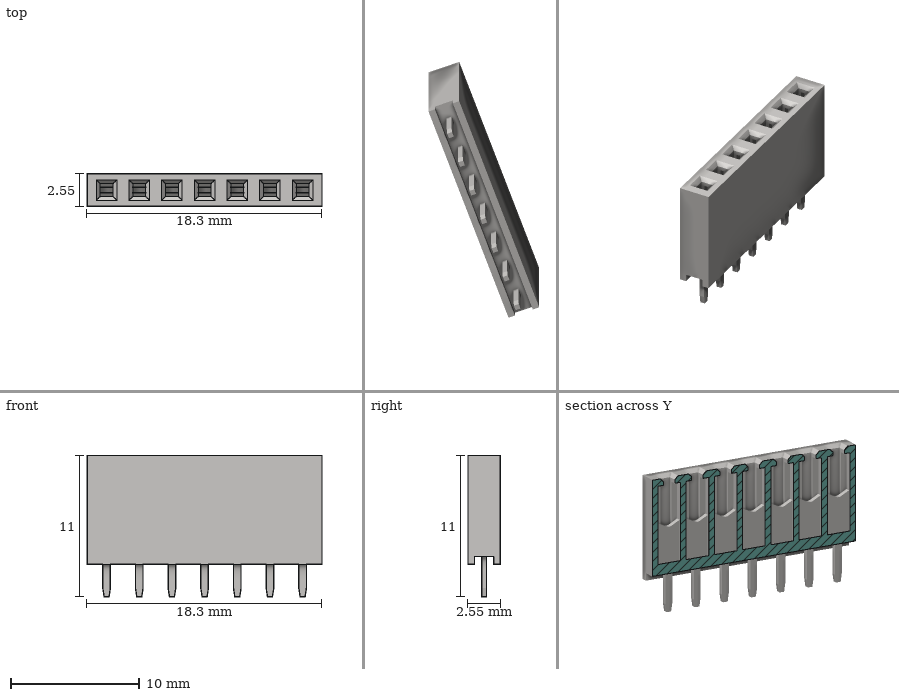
import cadquery as cq
import math

contact_count = 7
pitch = 2.55
housing_length = 18.3
housing_width = pitch
housing_height = 8.5

channel_width = 1.48
channel_height = 0.6

mouth_side = 1.6
socket_side = 0.99
mouth_depth = 0.3
socket_depth = 4.95

chamber_length = 2.0
chamber_width = 0.5
chamber_top_depth = 0.6
chamber_floor_depth = 6.95

contact_thickness = 0.4
chamber_clearance = (chamber_width - contact_thickness) / 2
head_length = chamber_length - 2 * chamber_clearance
head_top_depth = 3.66
valley_slope_angle = math.radians(27)
valley_arc_span = 0.5
tail_width = 0.6
tail_projection = 2.53
tip_width = 0.4
tip_taper_height = 0.65

mouth_bottom = housing_height - mouth_depth
socket_floor = housing_height - socket_depth
chamber_floor = housing_height - chamber_floor_depth
chamber_top = housing_height - chamber_top_depth
head_top = housing_height - head_top_depth
tail_bottom = -tail_projection
taper_top = tail_bottom + tip_taper_height

contact_positions = [(i - (contact_count - 1) / 2) * pitch for i in range(contact_count)]


def block(length, width, bottom, top):
    """Rectangular block centred on X and Y, between two heights."""
    return (
        cq.Workplane("XY")
        .workplane(offset=bottom)
        .rect(length, width)
        .extrude(top - bottom)
    )


def make_mouth():
    """Tapered funnel from the top face down to the socket."""
    return (
        cq.Workplane("XY")
        .workplane(offset=mouth_bottom)
        .rect(socket_side, socket_side)
        .workplane(offset=mouth_depth)
        .rect(mouth_side, mouth_side)
        .loft(ruled=True)
    )


def make_cavity():
    """Space for one contact: mouth, socket, chamber and a fitted hole for the tail."""
    socket = block(socket_side, socket_side, socket_floor, mouth_bottom)
    chamber = block(chamber_length, chamber_width, chamber_floor, chamber_top)
    tail_hole = block(tail_width, contact_thickness, channel_height, chamber_floor)
    return make_mouth().union(socket).union(chamber).union(tail_hole)


def make_housing():
    """Long block with a channel underneath and a row of contact cavities."""
    housing = block(housing_length, housing_width, 0, housing_height)
    housing = housing.cut(block(housing_length, channel_width, 0, channel_height))
    cavity = make_cavity()
    for x in contact_positions:
        housing = housing.cut(cavity.translate((x, 0, 0)))
    return housing


def make_contact(x):
    """Flat contact whose sloping head top runs smoothly into a round valley."""
    half_head = head_length / 2
    half_arc = valley_arc_span / 2
    half_tail = tail_width / 2
    half_tip = tip_width / 2
    arc_ends = head_top - (half_head - half_arc) * math.tan(valley_slope_angle)
    valley_radius = half_arc / math.sin(valley_slope_angle)
    valley_bottom = arc_ends - valley_radius * (1 - math.cos(valley_slope_angle))
    return (
        cq.Workplane("XZ")
        .moveTo(-half_tip, tail_bottom)
        .lineTo(half_tip, tail_bottom)
        .lineTo(half_tail, taper_top)
        .lineTo(half_tail, chamber_floor)
        .lineTo(half_head, chamber_floor)
        .lineTo(half_head, head_top)
        .lineTo(half_arc, arc_ends)
        .threePointArc((0, valley_bottom), (-half_arc, arc_ends))
        .lineTo(-half_head, head_top)
        .lineTo(-half_head, chamber_floor)
        .lineTo(-half_tail, chamber_floor)
        .lineTo(-half_tail, taper_top)
        .close()
        .extrude(contact_thickness / 2, both=True)
        .translate((x, 0, 0))
    )


housing = make_housing()
contacts = [make_contact(x) for x in contact_positions]

result = cq.Compound.makeCompound([housing.val(), *[contact.val() for contact in contacts]])